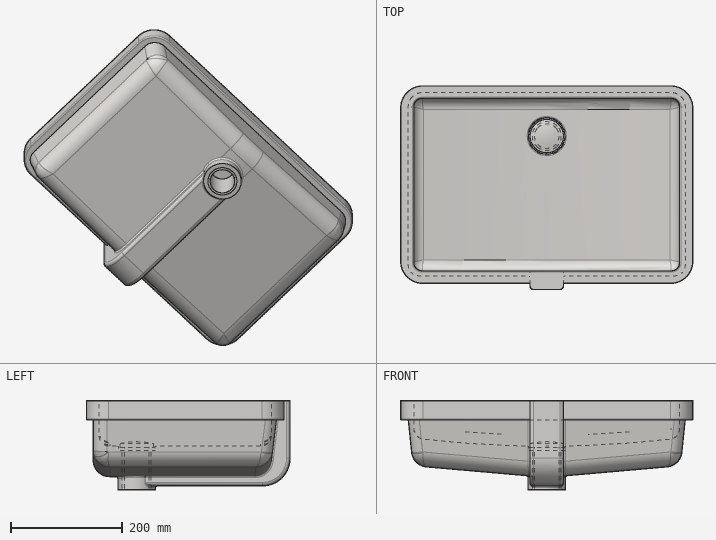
import cadquery as cq
import math

RIM_LENGTH = 525.0
RIM_WIDTH = 355.0
RIM_HEIGHT = 35.0
RIM_CORNER_RADIUS = 40.0
RIM_EDGE_RADIUS = 2.5

SHELL_TOP_LENGTH = 497.5
SHELL_FRONT_Y = -164.0
SHELL_BACK_Y = 165.5
SHELL_APEX_Z = -138.0
SIDE_DRAFT = 6
FRONT_DRAFT = 7
SHELL_APEX_RADIUS = 315.0
FLOOR_SLOPE = math.tan(math.radians(5))
SHELL_FRONT_CORNER_RADIUS = 20.0
SHELL_BACK_CORNER_RADIUS = 25.0
SHELL_BOTTOM_RADIUS = 30.0

EDGE_BAND = 16.0
EDGE_MARGIN = 1.0

BOWL_LENGTH = 478.0
BOWL_WIDTH = 310.0
BOWL_CENTRE_Y = 0.0
BOWL_CENTRE_Z = -82.0
BOWL_END_Z = -67.0
BOWL_CORNER_RADIUS = 15.0
BOWL_BOTTOM_RADIUS = 20.0
BOWL_LIP_RADIUS = 2.0

CHANNEL_WIDTH = 60.5
OVERALL_WIDTH = 366.0
CHANNEL_FRONT_Y = RIM_WIDTH / 2 - OVERALL_WIDTH
CHANNEL_BOTTOM_Z = -153.5
CHANNEL_BEND_RADIUS = 50.0
CHANNEL_EDGE_RADIUS = 6.5
ROOT_RADIUS = 3.0

DRAIN_Y = 87.0
OUTLET_DIAMETER = 67.5
OUTLET_BOTTOM_Z = -160.0
DRAIN_MOUTH_RADIUS = 2.5
SLEEVE_FLANGE_DIAMETER = 65.0
SLEEVE_FLANGE_TOP_Z = -84.5
SLEEVE_FLANGE_BOTTOM_Z = -90.0
SLEEVE_DIAMETER = 52.0
SLEEVE_BORE = 44.0
PLUG_DIAMETER = 60.0
PLUG_EDGE_Z = -77.0
PLUG_DOME_HEIGHT = 3.4
PLUG_DOME_RADIUS = ((PLUG_DIAMETER / 2) ** 2 + PLUG_DOME_HEIGHT**2) / (2 * PLUG_DOME_HEIGHT)


def cylinder(diameter, bottom_z, top_z):
    """Upright cylinder on the drain axis."""
    return (
        cq.Workplane("XY", origin=(0, DRAIN_Y, bottom_z))
        .circle(diameter / 2)
        .extrude(top_z - bottom_z)
    )


def edges_in_box(half_length, front_y, back_y, middle_z):
    """Selector for edges whose midpoints lie near a height, inside a centred X span and a range of Y."""
    low = (-half_length, front_y, middle_z - EDGE_BAND)
    high = (half_length, back_y, middle_z + EDGE_BAND)
    return cq.selectors.BoxSelector(low, high)


def make_rim():
    return (
        cq.Workplane("XY", origin=(0, 0, -RIM_HEIGHT))
        .rect(RIM_LENGTH, RIM_WIDTH)
        .extrude(RIM_HEIGHT)
        .edges("|Z")
        .fillet(RIM_CORNER_RADIUS)
        .faces("<Z")
        .edges()
        .fillet(RIM_EDGE_RADIUS)
    )


def make_shell():
    """Drafted shell: a V-bottomed cross-section trimmed by the front and back walls."""
    half_top = SHELL_TOP_LENGTH / 2
    draft = math.tan(math.radians(SIDE_DRAFT))
    side_drop = (-SHELL_APEX_Z - RIM_HEIGHT - half_top * FLOOR_SLOPE) / (1 - draft * FLOOR_SLOPE)
    half_bottom = half_top - side_drop * draft
    side_z = -RIM_HEIGHT - side_drop
    section = (
        cq.Workplane("XZ")
        .polyline([
            (-half_top, -RIM_HEIGHT),
            (-half_bottom, side_z),
            (0, SHELL_APEX_Z),
            (half_bottom, side_z),
            (half_top, -RIM_HEIGHT),
        ])
        .close()
        .extrude(RIM_WIDTH / 2, both=True)
        .edges("<Z")
        .fillet(SHELL_APEX_RADIUS)
    )
    front_run = (-SHELL_APEX_Z - RIM_HEIGHT) * math.tan(math.radians(FRONT_DRAFT))
    walls = (
        cq.Workplane("YZ")
        .polyline([
            (SHELL_FRONT_Y, -RIM_HEIGHT),
            (SHELL_FRONT_Y + front_run, SHELL_APEX_Z),
            (SHELL_BACK_Y, SHELL_APEX_Z),
            (SHELL_BACK_Y, -RIM_HEIGHT),
        ])
        .close()
        .extrude(RIM_LENGTH / 2, both=True)
    )
    shell = section.intersect(walls)

    bottom_z = (side_z + SHELL_APEX_Z) / 2
    bottom_edges = edges_in_box(RIM_LENGTH, -RIM_WIDTH, RIM_WIDTH, bottom_z)
    valley_lines = edges_in_box(half_top / 2, SHELL_FRONT_Y / 2, SHELL_BACK_Y / 2, bottom_z)
    shell = shell.edges(bottom_edges - valley_lines).fillet(SHELL_BOTTOM_RADIUS)
    corner_z = (side_z + SHELL_BOTTOM_RADIUS - RIM_HEIGHT) / 2
    front_corners = edges_in_box(RIM_LENGTH, -RIM_WIDTH, SHELL_FRONT_Y / 2, corner_z)
    back_corners = edges_in_box(RIM_LENGTH, SHELL_BACK_Y / 2, RIM_WIDTH, corner_z)
    shell = shell.edges(front_corners).fillet(SHELL_FRONT_CORNER_RADIUS)
    return shell.edges(back_corners).fillet(SHELL_BACK_CORNER_RADIUS)


def make_channel():
    """Overflow channel, with rounded outer edges and one large bend at the bottom front."""
    bar = (
        cq.Workplane("YZ")
        .moveTo(CHANNEL_FRONT_Y, 0)
        .lineTo(CHANNEL_FRONT_Y, CHANNEL_BOTTOM_Z + CHANNEL_BEND_RADIUS)
        .radiusArc((CHANNEL_FRONT_Y + CHANNEL_BEND_RADIUS, CHANNEL_BOTTOM_Z), -CHANNEL_BEND_RADIUS)
        .lineTo(DRAIN_Y, CHANNEL_BOTTOM_Z)
        .lineTo(DRAIN_Y, 0)
        .close()
        .extrude(CHANNEL_WIDTH / 2, both=True)
    )
    return bar.faces("<Y").edges("|Z").fillet(CHANNEL_EDGE_RADIUS)


def make_bowl():
    """Cavity with upright walls and a shallow trough-shaped floor."""
    half_length = BOWL_LENGTH / 2
    bowl = (
        cq.Workplane("XZ", origin=(0, BOWL_CENTRE_Y + BOWL_WIDTH / 2, 0))
        .moveTo(-half_length, 0)
        .lineTo(-half_length, BOWL_END_Z)
        .threePointArc((0, BOWL_CENTRE_Z), (half_length, BOWL_END_Z))
        .lineTo(half_length, 0)
        .close()
        .extrude(BOWL_WIDTH)
    )
    floor = bowl.faces("%CYLINDER").edges()
    bowl = floor.fillet(BOWL_BOTTOM_RADIUS)
    return bowl.edges("|Z").fillet(BOWL_CORNER_RADIUS)


def round_channel_and_outlet_roots(body):
    """Fillet the corners where the channel and the outlet grow out of the shell and each other."""
    outlet_radius = OUTLET_DIAMETER / 2
    root_reach = CHANNEL_WIDTH / 2 + ROOT_RADIUS
    channel_roots = cq.selectors.BoxSelector(
        (-root_reach, SHELL_FRONT_Y, CHANNEL_BOTTOM_Z + 2 * CHANNEL_EDGE_RADIUS),
        (root_reach, DRAIN_Y - outlet_radius, -RIM_HEIGHT - ROOT_RADIUS),
    )
    outlet_roots = cq.selectors.BoxSelector(
        (-outlet_radius, DRAIN_Y - outlet_radius, CHANNEL_BOTTOM_Z - ROOT_RADIUS),
        (outlet_radius, DRAIN_Y + outlet_radius, SHELL_APEX_Z + CHANNEL_EDGE_RADIUS),
    )
    outlet_seam = cq.selectors.BoxSelector(
        (root_reach, DRAIN_Y - EDGE_MARGIN, OUTLET_BOTTOM_Z),
        (outlet_radius + EDGE_MARGIN, DRAIN_Y + EDGE_MARGIN, SHELL_APEX_Z),
    )
    return body.edges(channel_roots + (outlet_roots - outlet_seam)).fillet(ROOT_RADIUS)


def make_basin():
    """Ceramic basin: rim, shell, overflow channel and outlet, hollowed by the bowl and drain."""
    outlet = cylinder(OUTLET_DIAMETER, OUTLET_BOTTOM_Z, BOWL_CENTRE_Z - BOWL_BOTTOM_RADIUS)
    body = make_shell().union(make_channel()).union(outlet)
    body = round_channel_and_outlet_roots(body)
    body = body.union(make_rim()).cut(make_bowl())
    recess = cylinder(SLEEVE_FLANGE_DIAMETER, SLEEVE_FLANGE_BOTTOM_Z, BOWL_CENTRE_Z + DRAIN_MOUTH_RADIUS)
    body = body.cut(recess).cut(cylinder(SLEEVE_DIAMETER, OUTLET_BOTTOM_Z, BOWL_CENTRE_Z))

    half_length = BOWL_LENGTH / 2 + EDGE_MARGIN
    half_width = BOWL_WIDTH / 2 + EDGE_MARGIN
    lip = cq.selectors.BoxSelector(
        (-half_length, BOWL_CENTRE_Y - half_width, -EDGE_MARGIN),
        (half_length, BOWL_CENTRE_Y + half_width, EDGE_MARGIN),
    )
    body = body.edges(lip).fillet(BOWL_LIP_RADIUS)
    mouth = cq.selectors.BoxSelector(
        (-EDGE_MARGIN, DRAIN_Y - EDGE_MARGIN, BOWL_CENTRE_Z - EDGE_MARGIN),
        (EDGE_MARGIN, DRAIN_Y + EDGE_MARGIN, BOWL_CENTRE_Z + DRAIN_MOUTH_RADIUS),
    )
    return body.edges(mouth).fillet(DRAIN_MOUTH_RADIUS)


def make_sleeve():
    """Drain sleeve: a flange in the basin's recess on a tube that lines the outlet."""
    flange = cylinder(SLEEVE_FLANGE_DIAMETER, SLEEVE_FLANGE_BOTTOM_Z, SLEEVE_FLANGE_TOP_Z)
    tube = cylinder(SLEEVE_DIAMETER, OUTLET_BOTTOM_Z, SLEEVE_FLANGE_BOTTOM_Z)
    bore = cylinder(SLEEVE_BORE, OUTLET_BOTTOM_Z, SLEEVE_FLANGE_TOP_Z)
    return flange.union(tube).cut(bore)


def make_plug():
    """Domed plug that rests on the sleeve flange."""
    return (
        cq.Workplane("XZ", origin=(0, DRAIN_Y, 0))
        .moveTo(0, SLEEVE_FLANGE_TOP_Z)
        .lineTo(PLUG_DIAMETER / 2, SLEEVE_FLANGE_TOP_Z)
        .lineTo(PLUG_DIAMETER / 2, PLUG_EDGE_Z)
        .radiusArc((0, PLUG_EDGE_Z + PLUG_DOME_HEIGHT), -PLUG_DOME_RADIUS)
        .close()
        .revolve(360, (0, 0, 0), (0, 1, 0))
    )


basin = make_basin()
sleeve = make_sleeve()
plug = make_plug()
result = cq.Compound.makeCompound([basin.val(), sleeve.val(), plug.val()])